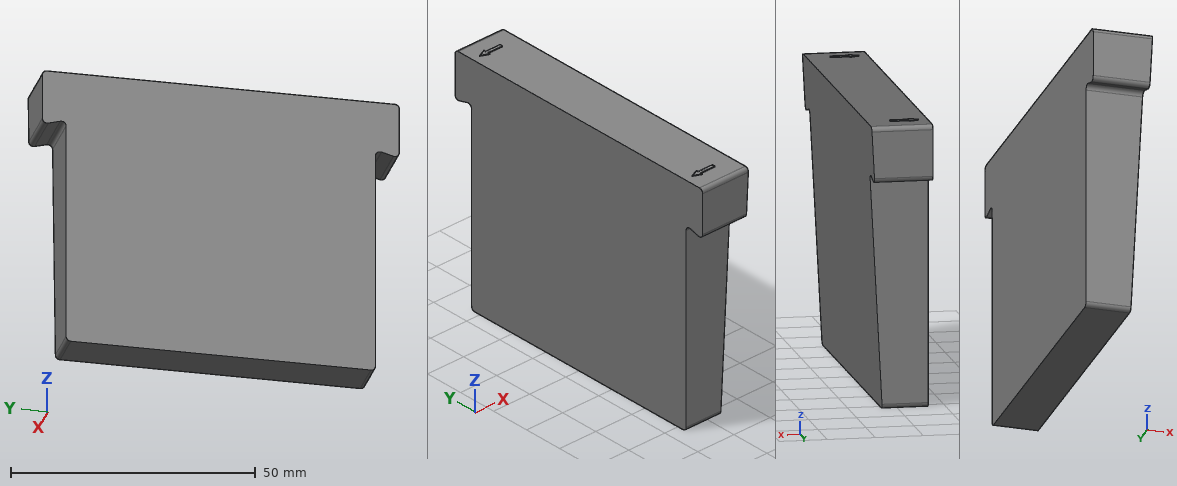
import cadquery as cq
import math

head_width = 75.0
stem_width = 65.0
body_height = 60.0
head_edge_height = 12.0
undercut_angle = 15.0
top_thickness = 12.75
taper_angle = 3.0
corner_radius = 1.0

arrow_relief = 0.2
arrow_tip_x = 1.95
arrow_length = 6.0
arrow_head_length = 2.0
arrow_head_width = 1.8
arrow_shaft_width = 0.75
arrow_end_distance = 5.3

half_head = head_width / 2
half_stem = stem_width / 2
head_corner_z = body_height - head_edge_height
undercut_rise = (half_head - half_stem) * math.tan(math.radians(undercut_angle))
stem_corner_z = head_corner_z + undercut_rise
bottom_thickness = top_thickness - body_height * math.tan(math.radians(taper_angle))


def make_t_plate():
    """T-shaped Y-Z outline, extruded along X, with every corner rounded."""
    half_outline = [
        (half_stem, 0),
        (half_stem, stem_corner_z),
        (half_head, head_corner_z),
        (half_head, body_height),
    ]
    mirrored_half = [(-y, z) for y, z in reversed(half_outline)]
    plate = cq.Workplane("YZ").polyline(half_outline + mirrored_half).close().extrude(top_thickness)
    return plate.edges("|X").fillet(corner_radius)


def make_taper_envelope():
    """X-Z wedge profile that is thicker at the top, spanning the whole head width."""
    profile = [
        (0, 0),
        (bottom_thickness, 0),
        (top_thickness, body_height),
        (0, body_height),
    ]
    return cq.Workplane("XZ").polyline(profile).close().extrude(half_head, both=True)


def make_arrow(center_y):
    """Flat arrow standing on the top face, pointing towards -X."""
    neck_x = arrow_tip_x + arrow_head_length
    tail_x = arrow_tip_x + arrow_length
    half_shaft = arrow_shaft_width / 2
    half_arrow_head = arrow_head_width / 2
    outline = [
        (arrow_tip_x, 0),
        (neck_x, half_arrow_head),
        (neck_x, half_shaft),
        (tail_x, half_shaft),
        (tail_x, -half_shaft),
        (neck_x, -half_shaft),
        (neck_x, -half_arrow_head),
    ]
    top_plane = cq.Workplane("XY", origin=(0, center_y, body_height))
    return top_plane.polyline(outline).close().extrude(arrow_relief)


result = make_t_plate().intersect(make_taper_envelope())
arrow_y = half_head - arrow_end_distance
for center_y in (-arrow_y, arrow_y):
    result = result.union(make_arrow(center_y))